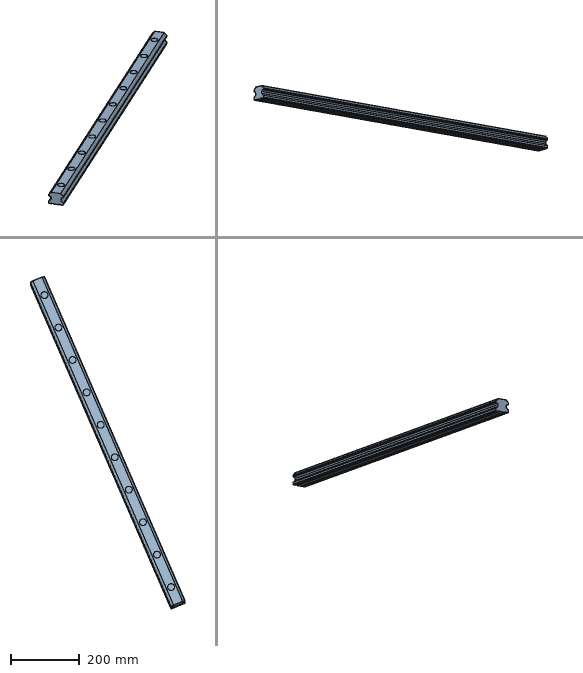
import cadquery as cq

rail_width = 45.0
rail_length = 1050.0
rail_height = 38.0
half_width = rail_width / 2

top_half_width = 14.2
head_edge_top = 29.0
head_edge_bottom = 26.0

upper_groove_top = (15.6, 35.6)
upper_groove_middle = (17.7, 33.7)
upper_groove_bottom = (20.0, 32.0)
lower_groove_top = (20.0, 24.0)
lower_groove_middle = (17.0, 23.3)
lower_groove_bottom = (15.3, 21.3)

waist_half_width = 14.6
waist_top = 20.0
waist_bottom = 14.5
foot_top = 7.5
foot_chamfer = 2.0

relief_inner = 8.0
relief_outer = 14.2
relief_depth = 1.0

hole_count = 10
hole_pitch = rail_length / hole_count
cap_diameter = 20.0
cap_recess_depth = 0.5


def make_rail():
    """Extrude the symmetric rail section, centred along Y."""
    right_half = (
        cq.Workplane("XZ")
        .moveTo(0, rail_height)
        .lineTo(top_half_width, rail_height)
        .lineTo(*upper_groove_top)
        .threePointArc(upper_groove_middle, upper_groove_bottom)
        .lineTo(half_width, head_edge_top)
        .lineTo(half_width, head_edge_bottom)
        .lineTo(*lower_groove_top)
        .threePointArc(lower_groove_middle, lower_groove_bottom)
        .lineTo(waist_half_width, waist_top)
        .lineTo(waist_half_width, waist_bottom)
        .lineTo(half_width, foot_top)
        .lineTo(half_width, foot_chamfer)
        .lineTo(half_width - foot_chamfer, 0)
        .lineTo(relief_outer, 0)
        .lineTo(relief_outer, relief_depth)
        .lineTo(relief_inner, relief_depth)
        .lineTo(relief_inner, 0)
        .lineTo(0, 0)
    )
    return right_half.mirrorY().extrude(rail_length / 2, both=True).clean()


def cut_cap_recesses(rail):
    """Sink a shallow round recess at each mounting position."""
    cap_row = cq.Workplane("XY", origin=(0, 0, rail_height))
    cap_row = cap_row.rarray(rail_width, hole_pitch, 1, hole_count)
    caps = cap_row.circle(cap_diameter / 2).extrude(-cap_recess_depth)
    return rail.cut(caps)


result = cut_cap_recesses(make_rail())